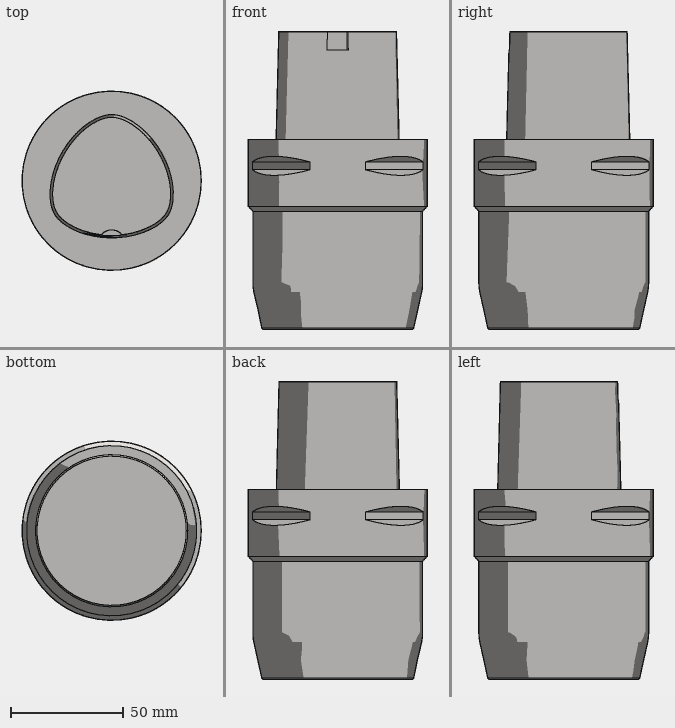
import cadquery as cq
import math

total_height = 133.0
shank_length = 48.0
flange_height = 29.9
flange_bottom = total_height - shank_length - flange_height
flange_top = flange_bottom + flange_height

flange_radius = 80.0 / 2
flange_chamfer = 1.7
body_radius = 76.0 / 2
body_top = 52.8
nose_bend_top = 20.9
nose_bend_bottom = 16.6
nose_taper = math.radians(12.5)
nose_edge_chamfer = 0.7

shank_base_radius = 27.5
shank_taper = 1 / 40
shank_top_radius = shank_base_radius - shank_length * shank_taper
lobe_eccentricity = 2.0
lobe_half_angle = 33.0
lobe_count = 3
points_per_curve = 9

groove_count = 4
groove_floor_distance = 35.6
groove_floor_height = 3.5
groove_center_height = 73.2
groove_side_angle = math.radians(30)

notch_radius = 6.0
notch_depth = 8.1
notch_inner_y = -22.0


def make_turned_body():
    """Revolve the flange, body and tapered nose about Z."""
    bend_radius = (nose_bend_top - nose_bend_bottom) / math.sin(nose_taper)
    bend_center = body_radius - bend_radius

    def bend_point(angle):
        return (bend_center + bend_radius * math.cos(angle), nose_bend_top - bend_radius * math.sin(angle))

    bend_end = bend_point(nose_taper)
    nose_radius = bend_end[0] - (nose_bend_bottom - nose_edge_chamfer) * math.tan(nose_taper)
    chamfer_radius = flange_radius - flange_chamfer
    profile = (
        cq.Workplane("XZ")
        .lineTo(nose_radius - nose_edge_chamfer, 0)
        .lineTo(nose_radius, nose_edge_chamfer)
        .lineTo(*bend_end)
        .threePointArc(bend_point(nose_taper / 2), (body_radius, nose_bend_top))
        .lineTo(body_radius, body_top)
        .lineTo(chamfer_radius, flange_bottom - flange_chamfer)
        .lineTo(flange_radius, flange_bottom)
        .lineTo(flange_radius, flange_top)
        .lineTo(0, flange_top)
        .close()
    )
    return profile.revolve(360, (0, 0, 0), (0, 1, 0))


def lobe_point(radius, angle, height):
    """Point on the three-lobed trochoid, with one lobe pointing along +Y."""
    t = math.radians(angle)
    e = lobe_eccentricity
    x = radius * math.sin(t) - 2 * e * math.sin(2 * t) - e * math.sin(4 * t)
    y = radius * math.cos(t) + 2 * e * math.cos(2 * t) - e * math.cos(4 * t)
    return cq.Vector(x, y, height)


def lobed_wire(radius, height):
    """Closed outline made of alternating lobe and flank curves."""
    pitch = 360 / lobe_count
    edges = []
    for lobe in range(lobe_count):
        lobe_start = lobe * pitch - lobe_half_angle
        lobe_end = lobe * pitch + lobe_half_angle
        for start, end in ((lobe_start, lobe_end), (lobe_end, lobe_start + pitch)):
            step = (end - start) / (points_per_curve - 1)
            points = [lobe_point(radius, start + i * step, height) for i in range(points_per_curve)]
            edges.append(cq.Edge.makeSpline(points))
    return cq.Wire.assembleEdges(edges)


def make_shank():
    base = lobed_wire(shank_base_radius, flange_top)
    top = lobed_wire(shank_top_radius, total_height)
    return cq.Workplane(cq.Solid.makeLoft([base, top], True))


def make_notch():
    return (
        cq.Workplane("XY", origin=(0, notch_inner_y - notch_radius, total_height - notch_depth))
        .circle(notch_radius)
        .extrude(notch_depth)
    )


def make_groove():
    """Trapezoidal groove cutter lying across the +X side of the flange."""
    groove_depth = flange_radius - groove_floor_distance
    floor_half = groove_floor_height / 2
    mouth_half = floor_half + groove_depth * math.tan(groove_side_angle)
    return (
        cq.Workplane("XZ", origin=(0, 0, groove_center_height))
        .moveTo(groove_floor_distance, -floor_half)
        .lineTo(flange_radius, -mouth_half)
        .lineTo(flange_radius, mouth_half)
        .lineTo(groove_floor_distance, floor_half)
        .close()
        .extrude(flange_radius, both=True)
    )


result = make_turned_body().union(make_shank()).cut(make_notch())
groove_pitch = 360 / groove_count
for index in range(groove_count):
    groove_angle = (index + 0.5) * groove_pitch
    result = result.cut(make_groove().rotate((0, 0, 0), (0, 0, 1), groove_angle))